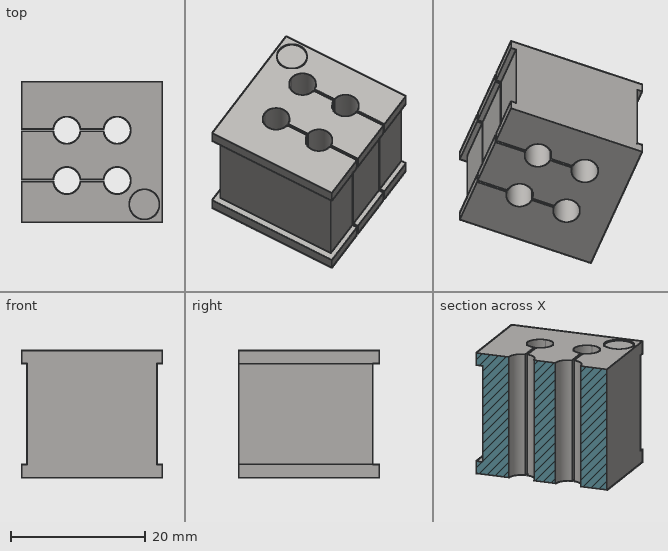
import cadquery as cq

width = 21.0
depth = 21.0
height = 19.0

flange_thickness = 2.0
side_recess = 0.8
back_recess = 1.0
waist_width = width - 2 * side_recess
waist_depth = depth - back_recess
waist_height = height - 2 * flange_thickness
waist_center_y = -back_recess / 2

hole_diameter = 4.0
hole_pitch = 7.5
slit_width = 0.3
hole_columns_x = [-hole_pitch / 2, hole_pitch / 2]
hole_rows_y = [waist_center_y - hole_pitch / 2, waist_center_y + hole_pitch / 2]

mark_diameter = 4.5
mark_depth = 0.2
mark_edge_distance = 2.7
mark_x = width / 2 - mark_edge_distance
mark_y = -depth / 2 + mark_edge_distance


def make_body():
    """Two square flanges joined by a narrower waist."""
    flange_center_z = (height - flange_thickness) / 2
    body = cq.Workplane("XY").box(waist_width, waist_depth, waist_height)
    body = body.translate((0, waist_center_y, 0))
    for center_z in (-flange_center_z, flange_center_z):
        flange = cq.Workplane("XY").box(width, depth, flange_thickness)
        body = body.union(flange.translate((0, 0, center_z)))
    return body


def make_cable_row(row_y):
    """Cutter for one row of through holes and the slit that links them to the -X side."""
    centers = [(column_x, row_y) for column_x in hole_columns_x]
    holes = (
        cq.Workplane("XY")
        .pushPoints(centers)
        .circle(hole_diameter / 2)
        .extrude(height / 2, both=True)
    )
    slit_length = hole_columns_x[-1] + width / 2
    slit = cq.Workplane("XY").box(slit_length, slit_width, height)
    slit_center_x = (hole_columns_x[-1] - width / 2) / 2
    return holes.union(slit.translate((slit_center_x, row_y, 0)))


def make_mark_recess():
    """Cutter for the shallow round recess in the top face."""
    return (
        cq.Workplane("XY", origin=(mark_x, mark_y, height / 2))
        .circle(mark_diameter / 2)
        .extrude(-mark_depth)
    )


result = make_body()
for row_y in hole_rows_y:
    result = result.cut(make_cable_row(row_y))
result = result.cut(make_mark_recess())